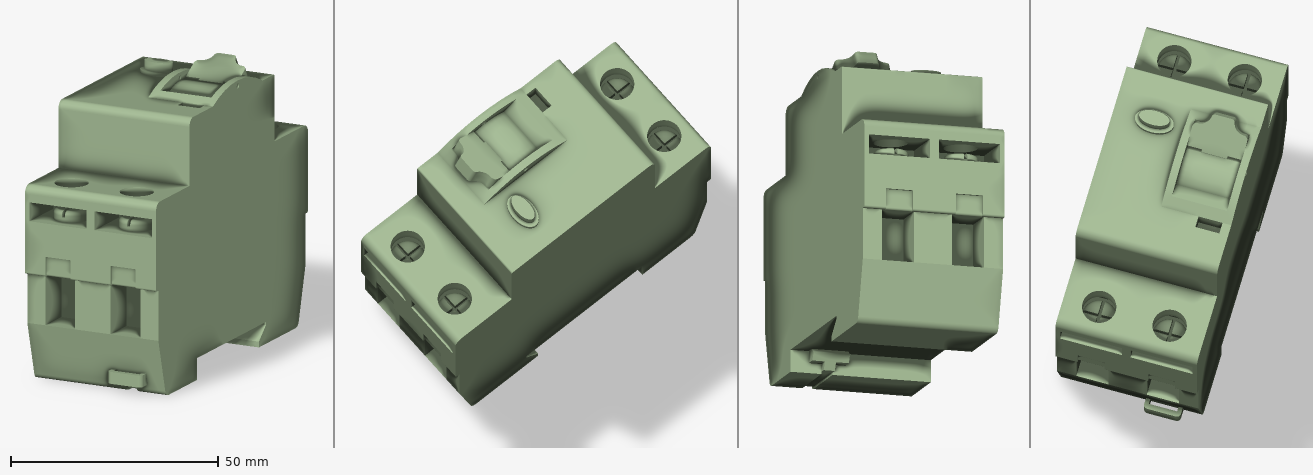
import cadquery as cq
import math

WIDTH = 35.5
LENGTH = 80.4
HALF_LENGTH = LENGTH / 2
POLE_OFFSET = 8.85
POLE_XS = (-POLE_OFFSET, POLE_OFFSET)

CROWN_HALF_LENGTH = 22.5
CROWN_TOP = 66.4
SHOULDER_TOP = 49.6
SKIRT_TOP = 27.4
SKIRT_HALF_LENGTH = 39.0
SLOPE_TOP = 14.9
FOOT_HALF_LENGTH = 35.0
EDGE_RADIUS = 2.0
FOOT_RADIUS = 1.8
SMALL_RADIUS = 0.5
EDGE_PICK_REACH = 0.1

RAIL_TOP = 5.5
RAIL_BACK = 17.9
RAIL_LIP = 14.2
RAIL_FRONT = -18.6
LIP_BOTTOM = 1.45
LIP_TOP = 4.7

WINDOW_WIDTH = 15.5
WINDOW_BOTTOM = 40.8
WINDOW_TOP = 45.5
WINDOW_DEPTH = 12.9
SCREW_Y = 33.0
SCREW_ACCESS_DIAMETER = 8.3
SCREW_DIAMETER = 8.7
SCREW_HEIGHT = 2.7
SCREW_EDGE_RADIUS = 1.1
SCREW_SLOT_WIDTH = 0.8
SCREW_SLOT_DEPTH = 1.6
WIRE_WIDTH = 8.0
WIRE_DEPTH = 9.65
NOTCH_WIDTH = 6.75
NOTCH_TOP = 32.4
NOTCH_DEPTH = 0.65

BUTTON_X = -7.4
BUTTON_Y = 10.3
BUTTON_LENGTH = 7.55
BUTTON_WIDTH = 3.7
BUTTON_TOP = 69.6
COLLAR_MARGIN = 1.05
COLLAR_HEIGHT = 0.9

COVER_LEFT = 0.2
COVER_Y = 3.05
COVER_HALF_LENGTH = 13.1
COVER_RISE = 3.3
COVER_WIDTH = WIDTH / 2 - COVER_LEFT
LEVER_X = COVER_LEFT + COVER_WIDTH / 2
SLOT_WIDTH = 13.8
SLOT_HALF_LENGTH = 10.3
SLOT_END_TILT = math.radians(28)
SLOT_DEPTH = 4.8
SEAL_HOLE_DIAMETER = 1.2
SEAL_HOLE_Z = 68.25
CROWN_POCKET_X = 12.55
CROWN_POCKET_WIDTH = 6.0
CROWN_POCKET_LENGTH = 2.8
CROWN_POCKET_DEPTH = 4.0

DRUM_RADIUS = 11.1
DRUM_TOP = 67.6
DRUM_BACK_TILT = math.radians(48)
DRUM_BACK_LENGTH = 3.2
GRIP_TILT = math.radians(30)
GRIP_TIP_Y = 14.15
LEVER_TOP = 72.45
GRIP_LENGTH = 9.7
GRIP_THICKNESS = 3.5
WING_START = 0.65
WING_END = 6.6
WING_CORNER_RADIUS = 1.1
TONGUE_HALF_WIDTH = 3.2
TIP_HALF_WIDTH = 2.9
TIP_FLAT_HALF_WIDTH = 2.0
NECK_TOP = 9.0

CLIP_X = 8.5
CLIP_WIDTH = 9.25
CLIP_FRONT = -39.1
CLIP_BOTTOM = 2.5
CLIP_CORNER_RADIUS = 1.05
CLIP_TIP_Y = -14.7
CLIP_TIP_Z = 4.35
CLIP_TOP_END_Y = -16.1
RIB_WIDTH = 2.8
RIB_BOTTOM = 0.6
RIB_END_Y = -16.8
RIB_FRONT = -33.8
HOOK_BOTTOM_Y = -15.75
TOOL_HOLE_WIDTH = 7.1
TOOL_HOLE_FRONT = -37.7
TOOL_HOLE_BACK = -35.8


def block(x_center, width, y_start, y_end, z_bottom, z_top):
    """Box from its middle X, its X width and its Y and Z limits."""
    size = (width, y_end - y_start, z_top - z_bottom)
    box = cq.Workplane("XY").box(*size, centered=(True, False, False))
    return box.translate((x_center, y_start, z_bottom))


def side_extrusion(sketch, x_center, width):
    """Extrude a closed YZ outline symmetrically about x_center."""
    return sketch.extrude(width / 2, both=True).translate((x_center, 0, 0))


def edges_along_x(body, y, z):
    """The edges parallel to X that pass through the point (y, z)."""
    low_corner = (-WIDTH, y - EDGE_PICK_REACH, z - EDGE_PICK_REACH)
    high_corner = (WIDTH, y + EDGE_PICK_REACH, z + EDGE_PICK_REACH)
    return body.edges("|X").edges(cq.selectors.BoxSelector(low_corner, high_corner))


def make_shell():
    """Stepped housing block with its wall notches, rounded edges and the rail groove."""
    right_half = [
        (CROWN_HALF_LENGTH, CROWN_TOP),
        (CROWN_HALF_LENGTH, SHOULDER_TOP),
        (HALF_LENGTH, SHOULDER_TOP),
        (HALF_LENGTH, SKIRT_TOP),
        (SKIRT_HALF_LENGTH, SKIRT_TOP),
        (SKIRT_HALF_LENGTH, SLOPE_TOP),
        (FOOT_HALF_LENGTH, 0),
    ]
    left_half = [(-y, z) for y, z in reversed(right_half)]
    shell = side_extrusion(cq.Workplane("YZ").polyline(right_half + left_half).close(), 0, WIDTH)

    notch_floor_y = HALF_LENGTH - NOTCH_DEPTH
    for x in POLE_XS:
        notch = block(x, NOTCH_WIDTH, -HALF_LENGTH, -notch_floor_y, SKIRT_TOP, NOTCH_TOP)
        shell = shell.cut(notch).cut(notch.mirror("XZ"))

    rounded = [(-CROWN_HALF_LENGTH, CROWN_TOP, EDGE_RADIUS), (CROWN_HALF_LENGTH, CROWN_TOP, SMALL_RADIUS)]
    for side in (-1, 1):
        rounded.append((side * HALF_LENGTH, SHOULDER_TOP, EDGE_RADIUS))
        rounded.append((side * HALF_LENGTH, SKIRT_TOP, SMALL_RADIUS))
        rounded.append((side * notch_floor_y, SKIRT_TOP, SMALL_RADIUS))
        rounded.append((side * FOOT_HALF_LENGTH, 0, FOOT_RADIUS))
    for y, z, radius in rounded:
        shell = edges_along_x(shell, y, z).fillet(radius)

    groove = [
        (RAIL_FRONT, 0),
        (RAIL_FRONT, RAIL_TOP),
        (RAIL_BACK, RAIL_TOP),
        (RAIL_BACK, LIP_TOP),
        (RAIL_LIP, LIP_BOTTOM),
        (RAIL_LIP, 0),
    ]
    return shell.cut(side_extrusion(cq.Workplane("YZ").polyline(groove).close(), 0, WIDTH))


def make_terminal_cavity(x):
    """Window, screw access hole and wire opening of one terminal on the -Y side."""
    window = block(x, WINDOW_WIDTH, -HALF_LENGTH, WINDOW_DEPTH - HALF_LENGTH, WINDOW_BOTTOM, WINDOW_TOP)
    access = cq.Workplane("XY").circle(SCREW_ACCESS_DIAMETER / 2).extrude(SHOULDER_TOP - WINDOW_BOTTOM)
    access = access.translate((x, -SCREW_Y, WINDOW_BOTTOM))
    wire = block(x, WIRE_WIDTH, -HALF_LENGTH, WIRE_DEPTH - HALF_LENGTH, SLOPE_TOP, SKIRT_TOP)
    return window.union(access).union(wire)


def make_screw(x):
    """Cross-slotted terminal screw head standing on the window floor on the -Y side."""
    head = cq.Workplane("XY").circle(SCREW_DIAMETER / 2).extrude(SCREW_HEIGHT)
    head = head.faces(">Z").edges().fillet(SCREW_EDGE_RADIUS)
    for size in ((SCREW_DIAMETER, SCREW_SLOT_WIDTH), (SCREW_SLOT_WIDTH, SCREW_DIAMETER)):
        slot = cq.Workplane("XY").rect(*size).extrude(SCREW_SLOT_DEPTH)
        head = head.cut(slot.translate((0, 0, SCREW_HEIGHT - SCREW_SLOT_DEPTH)))
    return head.translate((x, -SCREW_Y, WINDOW_BOTTOM))


def make_button():
    """Oval push button on a wider oval collar."""
    collar = cq.Workplane("XY").ellipse(BUTTON_LENGTH / 2 + COLLAR_MARGIN, BUTTON_WIDTH / 2 + COLLAR_MARGIN)
    button = cq.Workplane("XY").ellipse(BUTTON_LENGTH / 2, BUTTON_WIDTH / 2)
    stack = collar.extrude(COLLAR_HEIGHT).union(button.extrude(BUTTON_TOP - CROWN_TOP))
    return stack.translate((BUTTON_X, BUTTON_Y, CROWN_TOP))


def make_cover():
    """Arched cover standing on the crown."""
    arch = (
        cq.Workplane("YZ")
        .moveTo(COVER_Y - COVER_HALF_LENGTH, CROWN_TOP)
        .threePointArc((COVER_Y, CROWN_TOP + COVER_RISE), (COVER_Y + COVER_HALF_LENGTH, CROWN_TOP))
        .close()
    )
    return side_extrusion(arch, LEVER_X, COVER_WIDTH)


def make_lever_slot():
    """Slot through the cover whose end walls slope inwards towards the drum."""
    arch_radius = (COVER_HALF_LENGTH**2 + COVER_RISE**2) / (2 * COVER_RISE)
    arch_drop = arch_radius - math.sqrt(arch_radius**2 - SLOT_HALF_LENGTH**2)
    mouth_z = CROWN_TOP + COVER_RISE - arch_drop
    floor_half_length = SLOT_HALF_LENGTH - SLOT_DEPTH / math.tan(SLOT_END_TILT)
    outline = [
        (COVER_Y - SLOT_HALF_LENGTH, LEVER_TOP),
        (COVER_Y - SLOT_HALF_LENGTH, mouth_z),
        (COVER_Y - floor_half_length, mouth_z - SLOT_DEPTH),
        (COVER_Y + floor_half_length, mouth_z - SLOT_DEPTH),
        (COVER_Y + SLOT_HALF_LENGTH, mouth_z),
        (COVER_Y + SLOT_HALF_LENGTH, LEVER_TOP),
    ]
    return side_extrusion(cq.Workplane("YZ").polyline(outline).close(), LEVER_X, SLOT_WIDTH)


def make_lever():
    """Drum that fills the slot's width, with the tilted grip plate on it."""
    root_y = GRIP_TIP_Y - GRIP_LENGTH * math.cos(GRIP_TILT)
    root_z = LEVER_TOP - GRIP_LENGTH * math.sin(GRIP_TILT)
    axis_z = DRUM_TOP - DRUM_RADIUS
    back_top_z = axis_z + math.sqrt(DRUM_RADIUS**2 - (root_y - COVER_Y) ** 2)
    back_bottom_y = root_y + DRUM_BACK_LENGTH
    drum = (
        cq.Workplane("YZ")
        .moveTo(COVER_Y - DRUM_RADIUS, axis_z)
        .threePointArc((COVER_Y, DRUM_TOP), (root_y, back_top_z))
        .lineTo(back_bottom_y, back_top_z - DRUM_BACK_LENGTH * math.tan(DRUM_BACK_TILT))
        .lineTo(back_bottom_y, axis_z)
        .close()
    )
    drum = side_extrusion(drum, LEVER_X, SLOT_WIDTH)

    grip_plane = cq.Plane(
        origin=(LEVER_X, root_y, root_z),
        xDir=(1, 0, 0),
        normal=(0, -math.sin(GRIP_TILT), math.cos(GRIP_TILT)),
    )
    wing_x = SLOT_WIDTH / 2
    grip = (
        cq.Workplane(grip_plane)
        .lineTo(TONGUE_HALF_WIDTH, 0)
        .lineTo(TONGUE_HALF_WIDTH, WING_START)
        .lineTo(wing_x, WING_START)
        .lineTo(wing_x, WING_END - WING_CORNER_RADIUS)
        .tangentArcPoint((wing_x - WING_CORNER_RADIUS, WING_END), relative=False)
        .tangentArcPoint((TIP_HALF_WIDTH, NECK_TOP), relative=False)
        .tangentArcPoint((TIP_FLAT_HALF_WIDTH, GRIP_LENGTH), relative=False)
        .lineTo(0, GRIP_LENGTH)
        .mirrorY()
        .extrude(-GRIP_THICKNESS)
    )
    return drum.union(grip)


def make_clip_channel():
    """T-shaped passage through the front foot for the rail clip, open at the bottom."""
    bar = block(CLIP_X, CLIP_WIDTH, -HALF_LENGTH, RAIL_FRONT, CLIP_BOTTOM, RAIL_TOP)
    return bar.union(block(CLIP_X, RIB_WIDTH, -HALF_LENGTH, RAIL_FRONT, 0, CLIP_BOTTOM))


def make_housing():
    """Housing with its terminals, screws, button, cover and lever."""
    housing = make_shell()
    for x in POLE_XS:
        for turn in (0, 180):
            cavity = make_terminal_cavity(x).rotate((0, 0, 0), (0, 0, 1), turn)
            screw = make_screw(x).rotate((0, 0, 0), (0, 0, 1), turn)
            housing = housing.cut(cavity).union(screw)

    seal_hole = cq.Workplane("YZ").center(COVER_Y, SEAL_HOLE_Z).circle(SEAL_HOLE_DIAMETER / 2)
    housing = housing.union(make_cover())
    housing = housing.cut(make_lever_slot())
    housing = housing.cut(side_extrusion(seal_hole, LEVER_X, COVER_WIDTH))
    housing = housing.union(make_lever())
    housing = housing.union(make_button())

    cover_front = COVER_Y - COVER_HALF_LENGTH
    crown_pocket = block(
        CROWN_POCKET_X,
        CROWN_POCKET_WIDTH,
        cover_front - CROWN_POCKET_LENGTH,
        cover_front,
        CROWN_TOP - CROWN_POCKET_DEPTH,
        CROWN_TOP,
    )
    return housing.cut(crown_pocket).cut(make_clip_channel())


def make_clip():
    """Sliding rail clip: flat bar with a hooked end, a rib below it and a tool hole."""
    bar_outline = [
        (CLIP_FRONT, CLIP_BOTTOM),
        (CLIP_FRONT, RAIL_TOP),
        (CLIP_TOP_END_Y, RAIL_TOP),
        (CLIP_TIP_Y, CLIP_TIP_Z),
        (HOOK_BOTTOM_Y, CLIP_BOTTOM),
    ]
    rib_outline = [
        (RIB_FRONT, CLIP_BOTTOM),
        (HOOK_BOTTOM_Y, CLIP_BOTTOM),
        (RIB_END_Y, RIB_BOTTOM),
        (RIB_FRONT, RIB_BOTTOM),
    ]
    bar = side_extrusion(cq.Workplane("YZ").polyline(bar_outline).close(), CLIP_X, CLIP_WIDTH)
    bar = bar.faces("<Y").edges("|Z").fillet(CLIP_CORNER_RADIUS)
    rib = side_extrusion(cq.Workplane("YZ").polyline(rib_outline).close(), CLIP_X, RIB_WIDTH)
    tool_hole = block(CLIP_X, TOOL_HOLE_WIDTH, TOOL_HOLE_FRONT, TOOL_HOLE_BACK, CLIP_BOTTOM, RAIL_TOP)
    return bar.union(rib).cut(tool_hole)


housing = make_housing()
clip = make_clip()

result = cq.Compound.makeCompound([housing.solids().val(), clip.solids().val()])